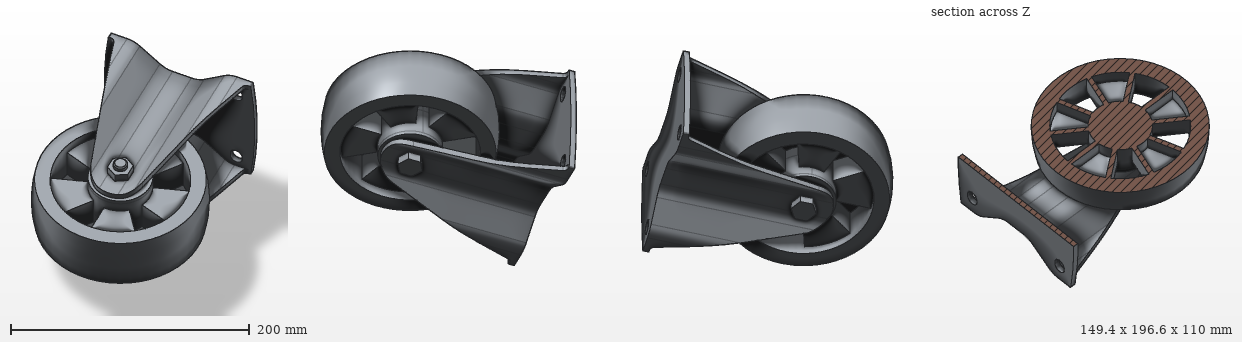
import cadquery as cq
import math


wheel_radius = 74.7
tread_edge_radius = 72.0
wheel_half_width = 25.0
rim_inner_diameter = 117.8
hub_diameter = 54.5
hub_half_length = 28.3
web_face_height = 16.0
web_thickness = 5.0
spoke_count = 5

fork_half_height = 55.0
sheet_thickness = 5.0
bend_angle = math.radians(36)
bend_radius = 20.0
channel_floor_half_width = 8.6
slope_run = 18.7
arm_end_radius = 25.0
arm_taper = math.radians(16.4)
arm_root_fillet = 4.1

plate_back = 121.9
plate_thickness = 5.1
plate_end_half_width = 65.9
plate_middle_half_width = 69.5
plate_corner_radius = 1.0
slot_width = 11.0
slot_length = 13.8
slot_x = 52.5
slot_z = 38.5

axle_diameter = 20.0
bolt_diameter = 12.0
bolt_end_height = 46.0
bolt_chamfer = 1.2
hex_across_flats = 18.9
hex_thickness = 7.9

rim_inner_radius = rim_inner_diameter / 2
hub_radius = hub_diameter / 2
plate_front = plate_back - plate_thickness
arm_root_half_width = plate_end_half_width - plate_corner_radius
channel_depth = 2 * bend_radius * (1 - math.cos(bend_angle)) + slope_run * math.tan(bend_angle)
seat_height = fork_half_height - channel_depth
upper_bend_x = channel_floor_half_width + 2 * bend_radius * math.sin(bend_angle) + slope_run
hex_diameter = hex_across_flats / math.cos(math.pi / 6)


def disc(radius, half_length):
    return cq.Workplane("XY").circle(radius).extrude(half_length, both=True)


def prism_along_y(section, start, end):
    """Extrude an XZ section from y = start to y = end."""
    return section.extrude(start - end).translate((0, start, 0))


def pocket_sectors(bottom, top):
    """Sector pockets, open upwards, with side walls parallel to the radial planes between sectors."""
    half_sector = math.pi / (2 * spoke_count)
    apex = web_thickness / 2 / math.sin(half_sector)
    reach = 2 * rim_inner_radius
    half_opening = reach * math.tan(half_sector)
    wedge = (
        cq.Workplane("XY")
        .workplane(offset=bottom)
        .polyline([(-apex, 0), (-apex - reach, half_opening), (-apex - reach, -half_opening)])
        .close()
        .extrude(top - bottom)
    )
    sectors = wedge
    for i in range(1, spoke_count):
        sectors = sectors.union(wedge.rotate((0, 0, 0), (0, 0, 1), 360 / spoke_count * i))
    return sectors


def side_recess():
    """Ring recess between hub and rim, with deep pockets in every second sector."""
    ring = disc(rim_inner_radius, wheel_half_width).cut(disc(hub_radius, wheel_half_width))
    shallow = (
        cq.Workplane("XY")
        .workplane(offset=web_face_height)
        .circle(rim_inner_radius)
        .extrude(wheel_half_width - web_face_height)
    )
    deep = pocket_sectors(web_thickness - web_face_height, wheel_half_width)
    return ring.intersect(shallow.union(deep))


def make_wheel():
    """Crowned tread on a rim, a zigzag web and a hub standing out on both sides."""
    tire = (
        cq.Workplane("YZ")
        .moveTo(rim_inner_radius, -wheel_half_width)
        .lineTo(tread_edge_radius, -wheel_half_width)
        .threePointArc((wheel_radius, 0), (tread_edge_radius, wheel_half_width))
        .lineTo(rim_inner_radius, wheel_half_width)
        .close()
        .revolve(360, (0, 0, 0), (0, 1, 0))
    )
    recess = side_recess()
    opposite_recess = recess.rotate((0, 0, 0), (0, 1, 0), 180)
    web = disc(rim_inner_radius, wheel_half_width).cut(recess).cut(opposite_recess)
    hub = disc(hub_radius, hub_half_length)
    return web.union(tire).union(hub, clean=False)


def channel_curve(depth):
    """Right half of the bent sheet at a depth below its outer face, as start, arc and end points."""
    low_radius = bend_radius + depth
    high_radius = bend_radius - depth
    low_center_z = seat_height + bend_radius
    high_center_z = fork_half_height - bend_radius

    def low_bend(angle):
        return (
            channel_floor_half_width + low_radius * math.sin(angle),
            low_center_z - low_radius * math.cos(angle),
        )

    def high_bend(angle):
        return (
            upper_bend_x - high_radius * math.sin(angle),
            high_center_z + high_radius * math.cos(angle),
        )

    half = bend_angle / 2
    low_points = [low_bend(0), low_bend(half), low_bend(bend_angle)]
    high_points = [high_bend(bend_angle), high_bend(half), high_bend(0)]
    return low_points + high_points


def half_section(depth):
    """Area between z = 0 and the sheet curve at a depth, right of the centre plane."""
    start, low_mid, low_end, high_start, high_mid, high_end = channel_curve(depth)
    return (
        cq.Workplane("XZ")
        .lineTo(0, start[1])
        .lineTo(*start)
        .threePointArc(low_mid, low_end)
        .lineTo(*high_start)
        .threePointArc(high_mid, high_end)
        .lineTo(arm_root_half_width, high_end[1])
        .lineTo(arm_root_half_width, 0)
        .close()
    )


def below_sheet_face(depth):
    """Everything between z = 0 and the sheet curve, over the full length of the fork."""
    right = prism_along_y(half_section(depth), -arm_end_radius, plate_back)
    return right.union(right.mirror("YZ"))


def plate_block(half_width):
    """Block as thick as the plate, from z = 0 up to the top of the fork."""
    block = cq.Workplane("XY").box(
        2 * half_width, plate_thickness, fork_half_height, centered=(True, False, False)
    )
    return block.translate((0, plate_front, 0))


def arm_plan():
    """Arm outline in XY, raised to the fork height: a rounded tapered tongue with fillets into the plate."""
    tangent_x = arm_end_radius * math.cos(arm_taper)
    tangent_y = -arm_end_radius * math.sin(arm_taper)
    root_x = tangent_x + (plate_back - tangent_y) * math.tan(arm_taper)
    tongue = (
        cq.Workplane("XY")
        .moveTo(-root_x, plate_back)
        .lineTo(-tangent_x, tangent_y)
        .threePointArc((0, -arm_end_radius), (tangent_x, tangent_y))
        .lineTo(root_x, plate_back)
        .close()
        .extrude(fork_half_height)
    )
    foot = plate_block(arm_root_half_width)
    margin = 0.2
    box_half_width = arm_root_half_width - margin
    root_edges = cq.selectors.BoxSelector(
        (-box_half_width, plate_front - margin, 0),
        (box_half_width, plate_front + margin, fork_half_height),
    )
    return tongue.union(foot).edges("|Z").edges(root_edges).fillet(arm_root_fillet)


def make_plate():
    """Mounting plate with bowed ends and four upright slots."""
    outline = (
        cq.Workplane("XZ")
        .moveTo(-plate_end_half_width, -fork_half_height)
        .lineTo(plate_end_half_width, -fork_half_height)
        .threePointArc((plate_middle_half_width, 0), (plate_end_half_width, fork_half_height))
        .lineTo(-plate_end_half_width, fork_half_height)
        .threePointArc((-plate_middle_half_width, 0), (-plate_end_half_width, -fork_half_height))
        .close()
    )
    slots = (
        cq.Workplane("XZ")
        .rect(2 * slot_x, 2 * slot_z, forConstruction=True)
        .vertices()
        .slot2D(slot_length, slot_width, 90)
    )
    plate = prism_along_y(outline, plate_front, plate_back).edges("|Y").fillet(plate_corner_radius)
    return plate.cut(prism_along_y(slots, plate_front, plate_back))


def make_fork():
    """Plate notched to follow the channels, with an arm along its top and its bottom edge."""
    outer = below_sheet_face(0)
    arm = outer.cut(below_sheet_face(sheet_thickness)).intersect(arm_plan())
    notch = plate_block(upper_bend_x).cut(outer)
    plate = make_plate().cut(notch).cut(notch.mirror("XY"))
    return plate.union(arm).union(arm.mirror("XY"))


def make_axle():
    """Spacer tube between the arms, with a bolt, its hexagon head below and its nut above."""
    spacer = disc(axle_diameter / 2, seat_height - sheet_thickness)
    bolt = (
        cq.Workplane("XY")
        .workplane(offset=-seat_height)
        .circle(bolt_diameter / 2)
        .extrude(seat_height + bolt_end_height)
        .faces(">Z")
        .chamfer(bolt_chamfer)
    )
    nut = (
        cq.Workplane("XY")
        .workplane(offset=seat_height)
        .polygon(6, hex_diameter)
        .extrude(hex_thickness)
        .rotate((0, 0, 0), (0, 0, 1), 90)
    )
    return spacer.union(bolt).union(nut).union(nut.mirror("XY"))


result = make_wheel().union(make_fork(), clean=False).union(make_axle(), clean=False)